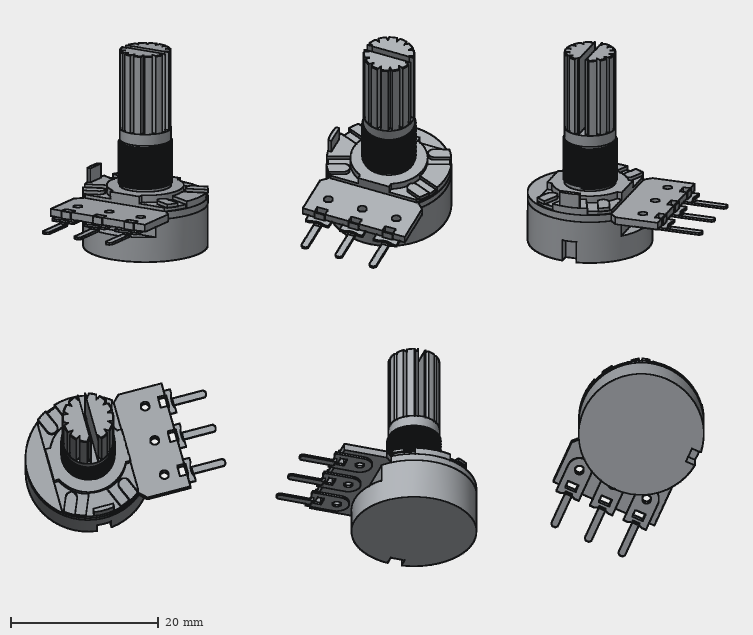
import cadquery as cq
import math

BASE_TOP = 6.0
BOARD_TOP = 7.0
PLATE_TOP = 7.5
LUG_TOP = 8.0
FLANGE_TOP = 8.5
TAB_TOP = 10.0
BUSHING_TOP = 15.0
COLLAR_TOP = 16.6
SHAFT_TOP = 27.6

CASE_RADIUS = 8.5
BASE_FLAT_Y = -6.43
BASE_FLAT_BOTTOM = 3.5
KEYWAY_WIDTH = 2.0
KEYWAY_HEIGHT = 3.0
KEYWAY_DEPTH = 1.4

BOARD_HALF_WIDTH = 7.5
BOARD_FRONT_Y = -12.4
BOARD_NECK_Y = -5.38
BOARD_SHOULDER_Y = -6.32
NOTCH_HALF_WIDTH = 0.77
NOTCH_LENGTH = 1.0

TERMINAL_PITCH = 5.0
TERMINAL_COUNT = 3
RIVET_HOLE_RADIUS = 0.6
RIVET_HOLE_Y = -9.38
PAD_HALF_WIDTH = 1.68
PAD_THICKNESS = 0.3
PAD_FRONT_Y = -13.35
PAD_RECESS_HALF_WIDTH = 1.05
PAD_RECESS_DEPTH = 0.25
STOP_HALF_WIDTH = 0.72
STOP_THICKNESS = 0.17
LEG_HALF_WIDTH = 0.5
LEG_TIP_Y = -17.95
LEG_TIP_CHAMFER = 0.28
LEG_TOP = 5.46
LEG_BOTTOM = 5.15
NECK_BACK_Y = -12.83
NECK_FRONT_Y = -13.15
BEND_OUTSIDE = 0.2
BEND_INSIDE = 0.2

PLATE_RADIUS = 8.28
PLATE_HALF_DEPTH = 5.38
FLANGE_RADIUS = 5.25
FLANGE_EAR_HALF_WIDTH = 2.3
RIB_ANGLE = 22.5
LUG_OFFSET = 1.5
LUG_WIDTH = 1.57
LUG_ROUND_CENTER = 6.1
SECTOR_APEX_X = 2.05
BUSHING_RADIUS = 3.5
THREAD_CREST_RADIUS = 3.67
THREAD_LENGTH = 6.02
THREAD_TURNS = 20
THREAD_WIDTH = 0.22
THREAD_START = 8.85
THREAD_EMBED = 0.05

TAB_INNER_X = -7.9
TAB_HALF_WIDTH = 1.4

SHAFT_RADIUS = 3.48
SHAFT_CHAMFER = 0.1
SLOT_WIDTH = 1.0
SPLINE_COUNT = 14
SPLINE_ROOT_RADIUS = 2.75
SPLINE_HALF_WIDTH = 0.262


def cylinder(radius, bottom, top):
    return cq.Workplane("XY").workplane(offset=bottom).circle(radius).extrude(top - bottom)


def block(x_range, y_range, z_range):
    size = [high - low for low, high in (x_range, y_range, z_range)]
    return cq.Workplane("XY").box(*size, centered=False).translate((x_range[0], y_range[0], z_range[0]))


def terminal_positions():
    return [TERMINAL_PITCH * (i - (TERMINAL_COUNT - 1) / 2) for i in range(TERMINAL_COUNT)]


def make_base():
    base = cylinder(CASE_RADIUS, 0, BASE_TOP)
    front_cut = block(
        (-CASE_RADIUS, CASE_RADIUS), (-CASE_RADIUS, BASE_FLAT_Y), (BASE_FLAT_BOTTOM, BASE_TOP)
    )
    keyway = block(
        (-CASE_RADIUS, KEYWAY_DEPTH - CASE_RADIUS),
        (-KEYWAY_WIDTH / 2, KEYWAY_WIDTH / 2),
        (0, KEYWAY_HEIGHT),
    )
    return base.cut(front_cut).cut(keyway)


def make_board():
    neck_x = math.sqrt(CASE_RADIUS**2 - BOARD_NECK_Y**2)
    board = (
        cq.Workplane("XY")
        .workplane(offset=BASE_TOP)
        .moveTo(neck_x, BOARD_NECK_Y)
        .threePointArc((0, CASE_RADIUS), (-neck_x, BOARD_NECK_Y))
        .lineTo(-BOARD_HALF_WIDTH, BOARD_SHOULDER_Y)
        .lineTo(-BOARD_HALF_WIDTH, BOARD_FRONT_Y)
        .lineTo(BOARD_HALF_WIDTH, BOARD_FRONT_Y)
        .lineTo(BOARD_HALF_WIDTH, BOARD_SHOULDER_Y)
        .close()
        .extrude(BOARD_TOP - BASE_TOP)
    )
    for x in terminal_positions():
        rivet_hole = cylinder(RIVET_HOLE_RADIUS, BASE_TOP, BOARD_TOP).translate((x, RIVET_HOLE_Y, 0))
        notch = block(
            (x - NOTCH_HALF_WIDTH, x + NOTCH_HALF_WIDTH),
            (BOARD_FRONT_Y, BOARD_FRONT_Y + NOTCH_LENGTH),
            (BASE_TOP, BOARD_TOP),
        )
        board = board.cut(rivet_hole).cut(notch)
    return board


def make_terminal(x):
    pad_bottom = BASE_TOP - PAD_THICKNESS
    pad = (
        cq.Workplane("XY")
        .workplane(offset=pad_bottom)
        .moveTo(PAD_HALF_WIDTH, RIVET_HOLE_Y)
        .threePointArc((0, RIVET_HOLE_Y + PAD_HALF_WIDTH), (-PAD_HALF_WIDTH, RIVET_HOLE_Y))
        .lineTo(-PAD_HALF_WIDTH, PAD_FRONT_Y)
        .lineTo(-PAD_RECESS_HALF_WIDTH, PAD_FRONT_Y)
        .threePointArc((0, PAD_FRONT_Y + PAD_RECESS_DEPTH), (PAD_RECESS_HALF_WIDTH, PAD_FRONT_Y))
        .lineTo(PAD_HALF_WIDTH, PAD_FRONT_Y)
        .close()
        .extrude(PAD_THICKNESS)
    )
    rivet_hole = cylinder(RIVET_HOLE_RADIUS, pad_bottom, BASE_TOP).translate((0, RIVET_HOLE_Y, 0))
    window = block(
        (-NOTCH_HALF_WIDTH, NOTCH_HALF_WIDTH),
        (BOARD_FRONT_Y, BOARD_FRONT_Y + NOTCH_LENGTH),
        (pad_bottom, BASE_TOP),
    )
    stop = block(
        (-STOP_HALF_WIDTH, STOP_HALF_WIDTH),
        (BOARD_FRONT_Y - STOP_THICKNESS, BOARD_FRONT_Y),
        (pad_bottom, BOARD_TOP),
    )
    leg = (
        cq.Workplane("YZ")
        .polyline(
            [
                (NECK_BACK_Y, pad_bottom),
                (NECK_BACK_Y, LEG_BOTTOM + BEND_OUTSIDE),
                (NECK_BACK_Y - BEND_OUTSIDE, LEG_BOTTOM),
                (LEG_TIP_Y, LEG_BOTTOM),
                (LEG_TIP_Y, LEG_TOP),
                (NECK_FRONT_Y - BEND_INSIDE, LEG_TOP),
                (NECK_FRONT_Y, LEG_TOP + BEND_INSIDE),
                (NECK_FRONT_Y, pad_bottom),
            ]
        )
        .close()
        .extrude(LEG_HALF_WIDTH, both=True)
        .faces("<Y")
        .edges("|Z")
        .chamfer(LEG_TIP_CHAMFER)
    )
    return pad.cut(rivet_hole).cut(window).union(stop).union(leg).translate((x, 0, 0))


def make_lug():
    """Rounded lug of the +X +Y quarter, trimmed to the case outline."""
    bar = block(
        (LUG_ROUND_CENTER, CASE_RADIUS),
        (LUG_OFFSET - LUG_WIDTH / 2, LUG_OFFSET + LUG_WIDTH / 2),
        (PLATE_TOP, LUG_TOP),
    )
    round_end = cylinder(LUG_WIDTH / 2, PLATE_TOP, LUG_TOP).translate((LUG_ROUND_CENTER, LUG_OFFSET, 0))
    lug = bar.union(round_end).rotate((0, 0, 0), (0, 0, 1), RIB_ANGLE)
    return lug.intersect(cylinder(CASE_RADIUS, PLATE_TOP, LUG_TOP))


def make_sector():
    """Wedge on the +X side that reaches the case outline."""
    spread = CASE_RADIUS * math.tan(math.radians(RIB_ANGLE))
    wedge = (
        cq.Workplane("XY")
        .workplane(offset=BOARD_TOP)
        .polyline(
            [
                (SECTOR_APEX_X, 0),
                (SECTOR_APEX_X + CASE_RADIUS, -spread),
                (SECTOR_APEX_X + CASE_RADIUS, spread),
            ]
        )
        .close()
        .extrude(LUG_TOP - BOARD_TOP)
    )
    return wedge.intersect(cylinder(CASE_RADIUS, BOARD_TOP, LUG_TOP))


def make_thread():
    """Right-hand thread that starts and ends on the -X side."""
    root_radius = BUSHING_RADIUS - THREAD_EMBED
    helix = cq.Wire.makeHelix(THREAD_LENGTH / THREAD_TURNS, THREAD_LENGTH, root_radius)
    ridge = (
        cq.Workplane("XZ")
        .polyline(
            [
                (root_radius, -THREAD_WIDTH / 2),
                (THREAD_CREST_RADIUS, 0),
                (root_radius, THREAD_WIDTH / 2),
            ]
        )
        .close()
        .sweep(cq.Workplane(helix), isFrenet=True)
    )
    return ridge.rotate((0, 0, 0), (0, 0, 1), 180).translate((0, 0, THREAD_START))


def make_cover():
    plate = cylinder(PLATE_RADIUS, BOARD_TOP, PLATE_TOP).intersect(
        block(
            (-PLATE_RADIUS, PLATE_RADIUS),
            (-PLATE_HALF_DEPTH, PLATE_HALF_DEPTH),
            (BOARD_TOP, PLATE_TOP),
        )
    )
    flange_ears = block(
        (-FLANGE_EAR_HALF_WIDTH, FLANGE_EAR_HALF_WIDTH),
        (-PLATE_HALF_DEPTH, PLATE_HALF_DEPTH),
        (BOARD_TOP, FLANGE_TOP),
    )
    cover = plate.union(cylinder(FLANGE_RADIUS, BOARD_TOP, FLANGE_TOP)).union(flange_ears)

    lug = make_lug()
    lug_pair = lug.union(lug.mirror("XZ"))
    sector = make_sector()
    for side in (lug_pair, sector):
        cover = cover.union(side).union(side.mirror("YZ"))

    bushing = cylinder(BUSHING_RADIUS, FLANGE_TOP, BUSHING_TOP).union(make_thread())
    return cover.union(bushing)


def make_tab():
    tab = block((-CASE_RADIUS, TAB_INNER_X), (-TAB_HALF_WIDTH, TAB_HALF_WIDTH), (LUG_TOP, TAB_TOP))
    return tab.intersect(cylinder(CASE_RADIUS, LUG_TOP, TAB_TOP))


def make_shaft():
    spline = cylinder(SHAFT_RADIUS, COLLAR_TOP, SHAFT_TOP).faces(">Z").chamfer(SHAFT_CHAMFER)
    mouth_radius = 2 * SHAFT_RADIUS - SPLINE_ROOT_RADIUS
    groove = (
        cq.Workplane("XY")
        .workplane(offset=COLLAR_TOP)
        .polyline(
            [
                (SPLINE_ROOT_RADIUS, 0),
                (mouth_radius, -2 * SPLINE_HALF_WIDTH),
                (mouth_radius, 2 * SPLINE_HALF_WIDTH),
            ]
        )
        .close()
        .extrude(SHAFT_TOP - COLLAR_TOP)
    )
    for i in range(SPLINE_COUNT):
        spline = spline.cut(groove.rotate((0, 0, 0), (0, 0, 1), 90 + i * 360 / SPLINE_COUNT))
    slot = block(
        (-SHAFT_RADIUS, SHAFT_RADIUS),
        (-SLOT_WIDTH / 2, SLOT_WIDTH / 2),
        (COLLAR_TOP, SHAFT_TOP),
    )
    return cylinder(BUSHING_RADIUS, BUSHING_TOP, COLLAR_TOP).union(spline.cut(slot))


base = make_base()
board = make_board()
cover = make_cover()
tab = make_tab()
shaft = make_shaft()
terminals = [make_terminal(x) for x in terminal_positions()]

result = cq.Compound.makeCompound(
    [
        base.val(),
        board.val(),
        cover.val(),
        tab.val(),
        shaft.val(),
        *[terminal.val() for terminal in terminals],
    ]
)